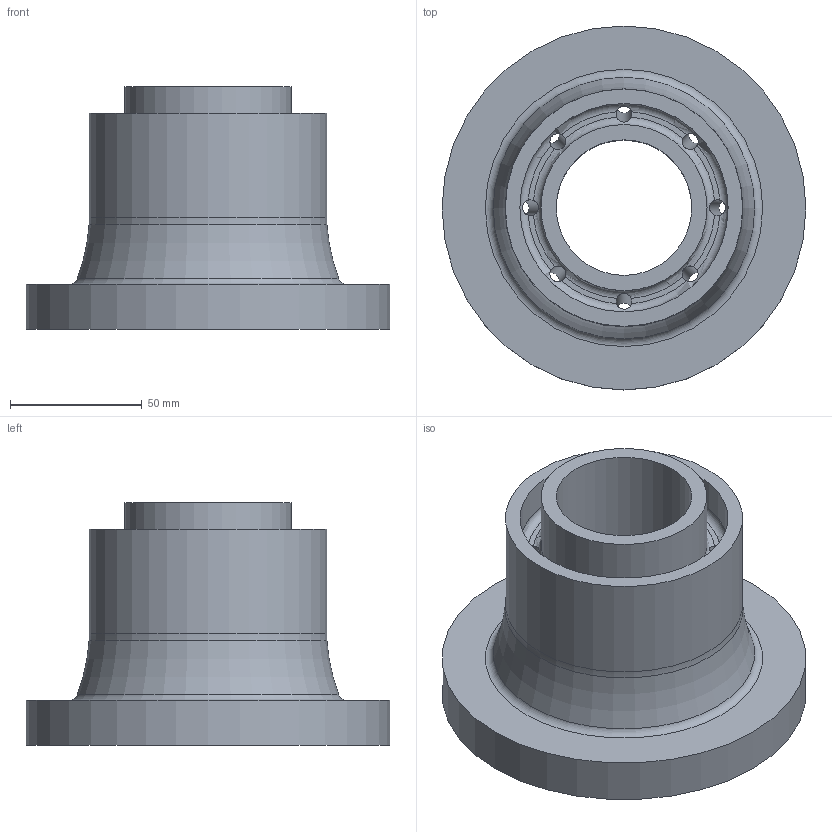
import cadquery as cq
import math

total_height = 92.0
housing_top = 82.0
flange_thickness = 17.0

flange_radius = 69.0
housing_radius = 45.0
groove_outer_radius = 39.5
tube_radius = 31.5
bore_radius = 25.7

blend_top = 42.3
blend_height = 2.7
blend_radius = 34.0
flare_radius = 78.0
foot_fillet_radius = 3.2

groove_depth = 15.0
groove_floor = housing_top - groove_depth
groove_fillet_radius = 3.0

hole_count = 8
hole_diameter = 6.0
hole_circle_radius = (groove_outer_radius + tube_radius) / 2
hole_lean = math.radians(3.0)
hole_overrun = 6.0


def arc_point(center, radius, angle):
    """Point of a concave neck arc where the surface leans by angle from the vertical.

    A negative radius gives the point opposite, on the outer side of the center.
    """
    return (center[0] - radius * math.cos(angle), center[1] - radius * math.sin(angle))


def make_body():
    """Solid of revolution: flange, flared neck and housing, with the bored tube inside it."""
    blend_angle = math.asin(blend_height / blend_radius)
    blend_center = (housing_radius + blend_radius, blend_top)
    flare_center = arc_point(blend_center, blend_radius - flare_radius, blend_angle)
    foot_center_height = flange_thickness + foot_fillet_radius
    foot_angle = math.asin((flare_center[1] - foot_center_height) / (flare_radius - foot_fillet_radius))
    foot_center = arc_point(flare_center, flare_radius - foot_fillet_radius, foot_angle)

    foot_middle_angle = (foot_angle + math.pi / 2) / 2
    flare_middle_angle = (blend_angle + foot_angle) / 2
    foot_start = (foot_center[0], flange_thickness)
    foot_middle = arc_point(foot_center, foot_fillet_radius, foot_middle_angle)
    foot_end = arc_point(foot_center, foot_fillet_radius, foot_angle)
    flare_middle = arc_point(flare_center, flare_radius, flare_middle_angle)
    flare_end = arc_point(blend_center, blend_radius, blend_angle)
    blend_middle = arc_point(blend_center, blend_radius, blend_angle / 2)

    profile = (
        cq.Workplane("XZ")
        .moveTo(bore_radius, 0)
        .lineTo(flange_radius, 0)
        .lineTo(flange_radius, flange_thickness)
        .lineTo(*foot_start)
        .threePointArc(foot_middle, foot_end)
        .threePointArc(flare_middle, flare_end)
        .threePointArc(blend_middle, (housing_radius, blend_top))
        .lineTo(housing_radius, housing_top)
        .lineTo(tube_radius, housing_top)
        .lineTo(tube_radius, total_height)
        .lineTo(bore_radius, total_height)
        .close()
    )
    return profile.revolve(360, (0, 0, 0), (0, 1, 0))


def make_groove():
    """Ring removed between tube and housing, with rounded floor corners."""
    ring = (
        cq.Workplane("XY")
        .workplane(offset=groove_floor)
        .circle(groove_outer_radius)
        .circle(tube_radius)
        .extrude(groove_depth)
    )
    return ring.faces("<Z").edges().fillet(groove_fillet_radius)


def make_hole(angle):
    """Slanted cylinder through the groove floor at the given angle about Z."""
    axis = cq.Vector(math.sin(hole_lean), 0, -math.cos(hole_lean))
    start = cq.Vector(hole_circle_radius, 0, groove_floor) - axis * hole_overrun
    length = groove_floor / math.cos(hole_lean) + 2 * hole_overrun
    cylinder = cq.Solid.makeCylinder(hole_diameter / 2, length, start, axis)
    return cylinder.rotate(cq.Vector(0, 0, 0), cq.Vector(0, 0, 1), angle)


result = make_body().cut(make_groove())
for index in range(hole_count):
    result = result.cut(cq.Workplane(obj=make_hole(index * 360 / hole_count)))